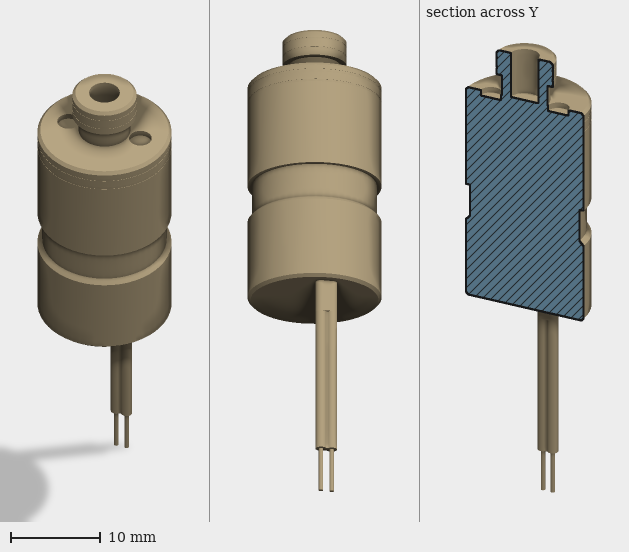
import cadquery as cq
import math

total_height = 56.1
sheath_bottom = 5.0
sleeve_bottom = 21.4
body_bottom = 24.95
waist_bottom = 34.8
waist_top = 38.6
body_top = 50.65
collar_bottom = 53.0

body_diameter = 15.0
body_groove_diameter = 14.9
waist_diameter = 13.9
waist_chamfer = (body_diameter - waist_diameter) / 2
edge_chamfer = 0.35
body_groove_depths = [(0.85, 1.2), (2.1, 2.35)]

neck_diameter = 5.8
collar_diameter = 7.2
collar_groove_diameter = 7.1
collar_groove_depths = [(0.95, 1.1), (2.1, 2.3)]
bore_diameter = 3.4

pin_hole_diameter = 2.5
pin_hole_offset = 4.25
pin_hole_depth = 0.7

cable_y = 5.55
wire_diameter = 1.25
wire_spacing = 1.25
strand_diameter = 0.5
web_fillet = 0.3


def cylinder(diameter, bottom, top):
    """Cylinder on the Z axis between two heights."""
    return cq.Workplane("XY").workplane(offset=bottom).circle(diameter / 2).extrude(top - bottom)


def cut_ring_grooves(solid, outer_diameter, groove_diameter, face, depths):
    """Cut shallow rings at the given depths below a face."""
    for start, end in depths:
        ring = cylinder(outer_diameter, face - end, face - start)
        ring = ring.cut(cylinder(groove_diameter, face - end, face - start))
        solid = solid.cut(ring)
    return solid


def make_body():
    lower = cylinder(body_diameter, body_bottom, waist_bottom)
    lower = lower.faces("<Z").chamfer(edge_chamfer).faces(">Z").chamfer(waist_chamfer)
    waist = cylinder(waist_diameter, waist_bottom, waist_top)
    upper = cylinder(body_diameter, waist_top, body_top).faces(">Z").chamfer(edge_chamfer)
    upper = cut_ring_grooves(upper, body_diameter, body_groove_diameter, body_top, body_groove_depths)
    for x in (-pin_hole_offset, pin_hole_offset):
        hole = cylinder(pin_hole_diameter, body_top - pin_hole_depth, body_top)
        upper = upper.cut(hole.translate((x, 0, 0)))
    return lower.union(waist).union(upper)


def make_fitting():
    """Neck and grooved collar, bored down to the top face of the body."""
    neck = cylinder(neck_diameter, body_top, collar_bottom)
    collar = cylinder(collar_diameter, collar_bottom, total_height).faces(">Z").chamfer(edge_chamfer)
    collar = cut_ring_grooves(
        collar, collar_diameter, collar_groove_diameter, total_height, collar_groove_depths
    )
    return neck.union(collar).cut(cylinder(bore_diameter, body_top, total_height))


def make_sheath():
    """Figure-eight insulation: two round wires blended by concave arcs."""
    radius = wire_diameter / 2
    center_x = wire_spacing / 2
    fillet_y = math.sqrt((radius + web_fillet) ** 2 - center_x**2)
    tangent_x = center_x * web_fillet / (radius + web_fillet)
    tangent_y = fillet_y * radius / (radius + web_fillet)
    waist_y = fillet_y - web_fillet
    return (
        cq.Workplane("XY", origin=(0, cable_y, sheath_bottom))
        .moveTo(tangent_x, tangent_y)
        .threePointArc((0, waist_y), (-tangent_x, tangent_y))
        .threePointArc((-center_x - radius, 0), (-tangent_x, -tangent_y))
        .threePointArc((0, -waist_y), (tangent_x, -tangent_y))
        .threePointArc((center_x + radius, 0), (tangent_x, tangent_y))
        .close()
        .extrude(sleeve_bottom - sheath_bottom)
    )


def make_cable():
    sleeve = (
        cq.Workplane("XY", origin=(0, cable_y, sleeve_bottom))
        .slot2D(wire_spacing + wire_diameter, wire_diameter)
        .extrude(body_bottom - sleeve_bottom)
    )
    cable = sleeve.union(make_sheath(), clean=False)
    for x in (-wire_spacing / 2, wire_spacing / 2):
        strand = cylinder(strand_diameter, 0, sheath_bottom)
        cable = cable.union(strand.translate((x, cable_y, 0)), clean=False)
    return cable


result = make_body().union(make_fitting()).union(make_cable(), clean=False)
result = result.translate((0, 0, -total_height / 2))